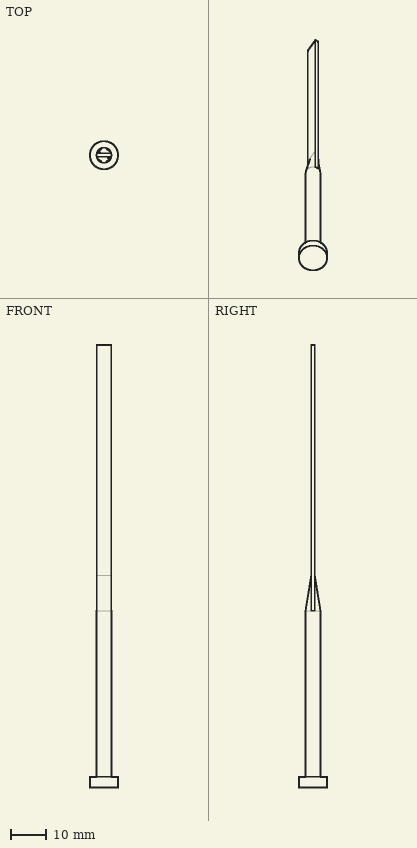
import cadquery as cq
import math

total_length = 125.0
head_diameter = 8.0
head_height = 3.0
shaft_diameter = 4.2
shaft_top = 50.0
blade_bottom = 60.0
blade_thickness = 1.0

shaft_radius = shaft_diameter / 2
blade_width = math.sqrt(shaft_diameter**2 - blade_thickness**2)
half_width = blade_width / 2
half_thickness = blade_thickness / 2


def make_head_and_shaft():
    head = cq.Workplane("XY").circle(head_diameter / 2).extrude(head_height)
    shaft = cq.Workplane("XY").circle(shaft_radius).extrude(shaft_top)
    return head.union(shaft)


def make_transition():
    """Blend a circle with two narrow side flats into the blade rectangle."""
    blend_height = blade_bottom - shaft_top
    return (
        cq.Workplane("XY", origin=(0, 0, shaft_top))
        .moveTo(-half_width, -half_thickness)
        .threePointArc((0, -shaft_radius), (half_width, -half_thickness))
        .lineTo(half_width, half_thickness)
        .threePointArc((0, shaft_radius), (-half_width, half_thickness))
        .close()
        .workplane(offset=blend_height)
        .moveTo(-half_width, -half_thickness)
        .lineTo(half_width, -half_thickness)
        .lineTo(half_width, half_thickness)
        .lineTo(-half_width, half_thickness)
        .close()
        .loft(ruled=True)
    )


def make_blade():
    return (
        cq.Workplane("XY", origin=(0, 0, blade_bottom))
        .rect(blade_width, blade_thickness)
        .extrude(total_length - blade_bottom)
    )


result = make_head_and_shaft().union(make_transition()).union(make_blade())